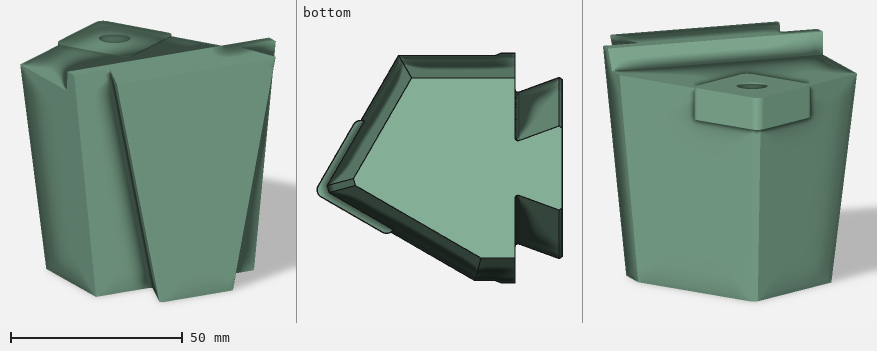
import cadquery as cq
import math


total_height = 69.0
plate_top_width = 67.0
plate_top_thickness = 4.0
draft_angle = 6.0
draft = math.tan(math.radians(draft_angle))

nose_top = 62.55
step_slant = 15.0
nose_overhang = 1.3
nose_chamfer = 1.5

dovetail_depth = 13.78
dovetail_top_width = 53.5
dovetail_angle = 20.0
dovetail_taper = 0.205
dovetail_root_radius = 0.8
dovetail_chamfer = 1.0

insert_side = 25.4
insert_corner_radius = 2.4
insert_thickness = 9.525
insert_hole_diameter = 9.12
insert_angle = 30.0
insert_x = -41.26
insert_y = 2.6
insert_top = 63.0
insert_bottom = insert_top - insert_thickness


def holder_outline(workplane, z):
    """Outline of the drafted holder at height z, without the dovetail."""
    half_width = plate_top_width / 2 - draft * (total_height - z)
    edge_distance = insert_side / 2 - nose_overhang - draft * (nose_top - z)
    cos_a = math.cos(math.radians(insert_angle))
    sin_a = math.sin(math.radians(insert_angle))

    apex_x = insert_x - edge_distance * (cos_a + sin_a)
    apex_y = insert_y + edge_distance * (cos_a - sin_a)
    rear_x = apex_x + (half_width - apex_y) * cos_a / sin_a
    front_x = apex_x + (half_width + apex_y) * sin_a / cos_a
    corners = [
        (0, half_width),
        (rear_x, half_width),
        (apex_x + nose_chamfer * cos_a, apex_y + nose_chamfer * sin_a),
        (apex_x + nose_chamfer * sin_a, apex_y - nose_chamfer * cos_a),
        (front_x, -half_width),
        (0, -half_width),
    ]
    return workplane.polyline(corners).close()


def dovetail_outline(workplane, z):
    """Dovetail outline at height z, with filleted roots and chamfered outer corners."""
    angle = math.radians(dovetail_angle)
    outer = dovetail_top_width / 2 - dovetail_taper * (total_height - z)
    root = outer - dovetail_depth * math.tan(angle)
    chamfer_x = dovetail_chamfer * math.cos(angle)
    chamfer_y = dovetail_chamfer * math.sin(angle)

    fillet_reach = dovetail_root_radius / math.tan((math.pi / 2 - angle) / 2)
    fillet_center_y = root + fillet_reach
    mid_angle = (math.pi / 2 + angle) / 2
    fillet_start = (0, fillet_center_y)
    fillet_middle = (
        dovetail_root_radius * (1 - math.cos(mid_angle)),
        fillet_center_y - dovetail_root_radius * math.sin(mid_angle),
    )
    fillet_end = (fillet_reach * math.cos(angle), root + fillet_reach * math.sin(angle))
    flank_end = (dovetail_depth - chamfer_x, outer - chamfer_y)
    face_end = (dovetail_depth, outer - dovetail_chamfer)

    def mirrored(point):
        return point[0], -point[1]

    return (
        workplane.moveTo(*fillet_start)
        .threePointArc(fillet_middle, fillet_end)
        .lineTo(*flank_end)
        .lineTo(*face_end)
        .lineTo(*mirrored(face_end))
        .lineTo(*mirrored(flank_end))
        .lineTo(*mirrored(fillet_end))
        .threePointArc(mirrored(fillet_middle), mirrored(fillet_start))
        .close()
    )


def tapered_block(outline):
    """Ruled solid from the outline at the bottom to the outline at the top."""
    bottom = outline(cq.Workplane("XY"), 0)
    return outline(bottom.workplane(offset=total_height), total_height).loft(ruled=True)


def step_cutter():
    """Space above the nose, bounded by the slanted front of the plate."""
    step_height = total_height - nose_top
    foot_x = -plate_top_thickness - step_height * math.tan(math.radians(step_slant))
    far_x = insert_x - insert_side
    return (
        cq.Workplane("XZ")
        .moveTo(-plate_top_thickness, total_height)
        .lineTo(foot_x, nose_top)
        .lineTo(far_x, nose_top)
        .lineTo(far_x, total_height)
        .close()
        .extrude(plate_top_width, both=True)
    )


def make_insert():
    """Square insert with rounded corners and a through hole."""
    return (
        cq.Workplane("XY")
        .rect(insert_side, insert_side)
        .extrude(insert_thickness)
        .edges("|Z")
        .fillet(insert_corner_radius)
        .faces(">Z")
        .workplane()
        .hole(insert_hole_diameter)
        .rotate((0, 0, 0), (0, 0, 1), insert_angle)
        .translate((insert_x, insert_y, insert_bottom))
    )


def make_holder(insert):
    """Drafted nose and plate with the dovetail; the seat keeps a pin that fills the insert's hole."""
    block = tapered_block(holder_outline).union(tapered_block(dovetail_outline))
    return block.cut(step_cutter()).cut(insert)


insert = make_insert()
holder = make_holder(insert)

result = cq.Compound.makeCompound([holder.solids().val(), insert.solids().val()])